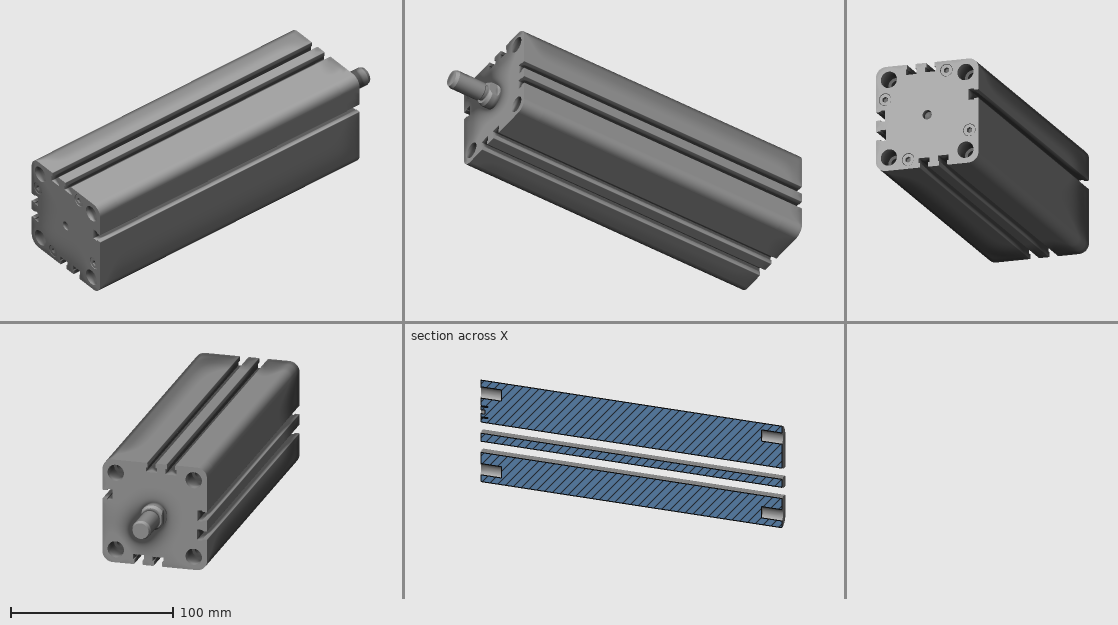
import cadquery as cq
import math


SIDE = 67.0
CORNER_RADIUS = 6.5
CAP_LENGTH = 14.5
TUBE_LENGTH = 176.5
HOUSING_LENGTH = 2 * CAP_LENGTH + TUBE_LENGTH

SLOT_MOUTH_WIDTH = 5.4
SLOT_CHAMBER_WIDTH = 7.0
SLOT_LIP = 3.0
SLOT_MOUTH_ROUND = 0.4
OUTER_SLOT_OFFSET = -10.4
OUTER_SLOT_DEPTH = 6.5
INNER_SLOT_OFFSET = 2.1
INNER_SLOT_DEPTH = 6.0
OUTER_SLOT_SIDES = (0, 90, 180, 270)
INNER_SLOT_SIDES = (0, 90, 180)

MOUNT_SPACING = 50.0
MOUNT_HOLE_DIAMETER = 6.65
MOUNT_BORE_DIAMETER = 10.5
MOUNT_BORE_DEPTH = 14.0

SCREW_OFFSET = 12.5
SCREW_REACH = 27.5
SCREW_POSITIONS = [
    (SCREW_OFFSET, SCREW_REACH),
    (-SCREW_REACH, SCREW_OFFSET),
    (-SCREW_OFFSET, -SCREW_REACH),
    (SCREW_REACH, -SCREW_OFFSET),
]
SCREW_POCKET_DIAMETER = 8.0
SCREW_POCKET_DEPTH = 5.0
SCREW_HEAD_DIAMETER = 7.5
SCREW_HEAD_RECESS = 0.3
SCREW_HEX_FLATS = 3.3
SCREW_HEX_DEPTH = 2.5

CENTRE_HOLE_DIAMETER = 6.0
CENTRE_HOLE_DEPTH = 4.0

TOTAL_LENGTH = 237.0
ROD_DIAMETER = 16.0
ROD_CHAMFER = 2.0
ROD_CHAMFER_DROP = 1.2
ROD_EXTENSION = 7.5
FLATS_WIDTH = 13.0
FLATS_RUNOUT = (ROD_DIAMETER - FLATS_WIDTH) / 2
FLATS_START = 0.5
NECK_DIAMETER = 10.16
NECK_LENGTH = 2.0
THREAD_DIAMETER = 12.0
THREAD_TIP_CHAMFER = 2.2
THREAD_ROOT_CHAMFER = 0.8


def cross_section(y):
    """Sketch plane across the cylinder at y, with local x = X and local y = Z."""
    return cq.Workplane("XZ", origin=(0, y, 0))


def slot(offset, depth, y, length):
    """Undercut slot with a rounded mouth in the +Z side, from y to y + length."""
    top = SIDE / 2
    half_mouth = SLOT_MOUTH_WIDTH / 2
    half_chamber = SLOT_CHAMBER_WIDTH / 2
    flare = half_mouth + SLOT_MOUTH_ROUND
    bend = SLOT_MOUTH_ROUND * (1 - math.sqrt(0.5))
    profile = (cross_section(y).center(offset, top)
               .moveTo(-flare, 0)
               .threePointArc((-half_mouth - bend, -bend), (-half_mouth, -SLOT_MOUTH_ROUND))
               .lineTo(-half_mouth, -SLOT_LIP)
               .lineTo(-half_chamber, -SLOT_LIP)
               .lineTo(-half_chamber, -depth)
               .lineTo(half_chamber, -depth)
               .lineTo(half_chamber, -SLOT_LIP)
               .lineTo(half_mouth, -SLOT_LIP)
               .lineTo(half_mouth, -SLOT_MOUTH_ROUND)
               .threePointArc((half_mouth + bend, -bend), (flare, 0))
               .close())
    return profile.extrude(-length)


def turned(shape, angle):
    """Turn a feature of the +Z side about the cylinder axis (90 brings it to -X)."""
    return shape.rotate((0, 0, 0), (0, 1, 0), -angle)


def housing_section(y, length):
    """Slotted, rounded square bar from y to y + length."""
    bar = cross_section(y).rect(SIDE, SIDE).extrude(-length).edges("|Y").fillet(CORNER_RADIUS)
    for angle in OUTER_SLOT_SIDES:
        bar = bar.cut(turned(slot(OUTER_SLOT_OFFSET, OUTER_SLOT_DEPTH, y, length), angle))
    for angle in INNER_SLOT_SIDES:
        bar = bar.cut(turned(slot(INNER_SLOT_OFFSET, INNER_SLOT_DEPTH, y, length), angle))
    return bar


def housing():
    """Rear cap, tube and front cap; flush faces stay split at the two joints."""
    rear_cap = housing_section(0, CAP_LENGTH)
    tube = housing_section(CAP_LENGTH, TUBE_LENGTH)
    front_cap = housing_section(CAP_LENGTH + TUBE_LENGTH, CAP_LENGTH)
    return rear_cap.union(tube, clean=False).union(front_cap, clean=False)


def mounting_holes():
    """Corner holes through the housing, counterbored from both ends."""
    corners = cross_section(0).rect(MOUNT_SPACING, MOUNT_SPACING, forConstruction=True).vertices()
    holes = corners.circle(MOUNT_HOLE_DIAMETER / 2).extrude(-HOUSING_LENGTH)
    for y in (0, HOUSING_LENGTH - MOUNT_BORE_DEPTH):
        bores = (cross_section(y).rect(MOUNT_SPACING, MOUNT_SPACING, forConstruction=True)
                 .vertices().circle(MOUNT_BORE_DIAMETER / 2).extrude(-MOUNT_BORE_DEPTH))
        holes = holes.union(bores)
    return holes


def screw_recesses():
    """Gaps around the heads of the cap screws, and their hexagon sockets."""
    def at(y):
        return cross_section(y).pushPoints(SCREW_POSITIONS)

    pockets = at(0).circle(SCREW_POCKET_DIAMETER / 2).extrude(-SCREW_POCKET_DEPTH)
    head_length = SCREW_POCKET_DEPTH - SCREW_HEAD_RECESS
    heads = at(SCREW_HEAD_RECESS).circle(SCREW_HEAD_DIAMETER / 2).extrude(-head_length)
    corner_radius = SCREW_HEX_FLATS / 2 / math.cos(math.pi / 6)
    hexagon = [
        (corner_radius * math.sin(i * math.pi / 3), corner_radius * math.cos(i * math.pi / 3))
        for i in range(6)
    ]
    recesses = pockets.cut(heads)
    for x, z in SCREW_POSITIONS:
        socket = cross_section(SCREW_HEAD_RECESS).center(x, z).polyline(hexagon).close()
        recesses = recesses.union(socket.extrude(-SCREW_HEX_DEPTH))
    return recesses


def centre_hole():
    return cross_section(0).circle(CENTRE_HOLE_DIAMETER / 2).extrude(-CENTRE_HOLE_DEPTH)


def rod():
    """Rod end rooted in the front cap: wrench flats, neck and thread."""
    rod_end = HOUSING_LENGTH + ROD_EXTENSION
    cap_start = HOUSING_LENGTH - CAP_LENGTH
    neck_end = rod_end + NECK_LENGTH
    profile = [
        (0, cap_start),
        (ROD_DIAMETER / 2, cap_start),
        (ROD_DIAMETER / 2, rod_end - ROD_CHAMFER),
        (ROD_DIAMETER / 2 - ROD_CHAMFER_DROP, rod_end),
        (NECK_DIAMETER / 2, rod_end),
        (NECK_DIAMETER / 2, neck_end),
        (THREAD_DIAMETER / 2, neck_end + THREAD_ROOT_CHAMFER),
        (THREAD_DIAMETER / 2, TOTAL_LENGTH - THREAD_TIP_CHAMFER),
        (NECK_DIAMETER / 2, TOTAL_LENGTH),
        (0, TOTAL_LENGTH),
    ]
    shaft = cq.Workplane("XY").polyline(profile).close().revolve(360, (0, 0, 0), (0, 1, 0))
    flat_x = FLATS_WIDTH / 2
    rod_radius = ROD_DIAMETER / 2
    flats_start = HOUSING_LENGTH + FLATS_START
    flat_profile = [
        (rod_radius, flats_start),
        (flat_x, flats_start + FLATS_RUNOUT),
        (flat_x, rod_end),
        (rod_radius, rod_end),
    ]
    flat = cq.Workplane("XY").polyline(flat_profile).close().extrude(rod_radius, both=True)
    return shaft.cut(flat).cut(flat.mirror("YZ"))


result = (
    housing()
    .cut(mounting_holes(), clean=False)
    .cut(screw_recesses(), clean=False)
    .cut(centre_hole(), clean=False)
    .union(rod(), clean=False)
)